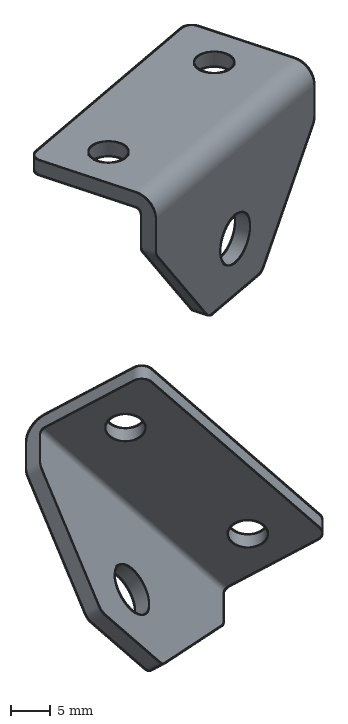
import cadquery as cq
import math

depth = 19.05
width = 38.1
height = 24.51

thickness = 2.286
inner_bend_radius = 0.762
outer_bend_radius = inner_bend_radius + thickness

flange_corner_radius = 1.5875
mount_hole_diameter = 5.13
mount_hole_spacing = 25.4
mount_hole_setback = 7.9375

tab_straight_drop = 8.4
tab_tip_width = 12.7
tab_corner_radius = 1.5875
tab_hole_diameter = 7.14
tab_hole_drop = 16.1


def bent_sheet():
    """L-shaped sheet with concentric bend radii, top face at Z = 0 and free edge at X = 0."""
    inner_face = depth - thickness
    bend_x = depth - outer_bend_radius
    bend_z = -outer_bend_radius
    diagonal = math.sqrt(0.5)
    outer_mid = (bend_x + outer_bend_radius * diagonal, bend_z + outer_bend_radius * diagonal)
    inner_mid = (bend_x + inner_bend_radius * diagonal, bend_z + inner_bend_radius * diagonal)
    return (
        cq.Workplane("XZ")
        .moveTo(0, 0)
        .lineTo(bend_x, 0)
        .threePointArc(outer_mid, (depth, bend_z))
        .lineTo(depth, -height)
        .lineTo(inner_face, -height)
        .lineTo(inner_face, bend_z)
        .threePointArc(inner_mid, (bend_x, -thickness))
        .lineTo(0, -thickness)
        .close()
        .extrude(width / 2, both=True)
    )


def tab_envelope():
    """Tapered outline of the tab, extruded along X through the whole part."""
    half_width = width / 2
    half_tip = tab_tip_width / 2
    outline = [
        (-half_width, 0),
        (half_width, 0),
        (half_width, -tab_straight_drop),
        (half_tip, -height),
        (-half_tip, -height),
        (-half_width, -tab_straight_drop),
    ]
    below_top = cq.selectors.BoxSelector(
        (0, -width, -2 * height), (depth, width, -tab_straight_drop / 2)
    )
    return (
        cq.Workplane("YZ")
        .polyline(outline)
        .close()
        .extrude(depth)
        .edges("|X")
        .edges(below_top)
        .fillet(tab_corner_radius)
    )


def mount_holes():
    """Two vertical cutters through the horizontal flange."""
    half_spacing = mount_hole_spacing / 2
    return (
        cq.Workplane("XY")
        .pushPoints([(mount_hole_setback, -half_spacing), (mount_hole_setback, half_spacing)])
        .circle(mount_hole_diameter / 2)
        .extrude(-thickness)
    )


def tab_hole():
    """Cutter along X through the vertical tab."""
    return (
        cq.Workplane("YZ")
        .center(0, -tab_hole_drop)
        .circle(tab_hole_diameter / 2)
        .extrude(depth)
    )


bracket = bent_sheet().edges("|Z and <X").fillet(flange_corner_radius)
result = bracket.intersect(tab_envelope()).cut(mount_holes()).cut(tab_hole())